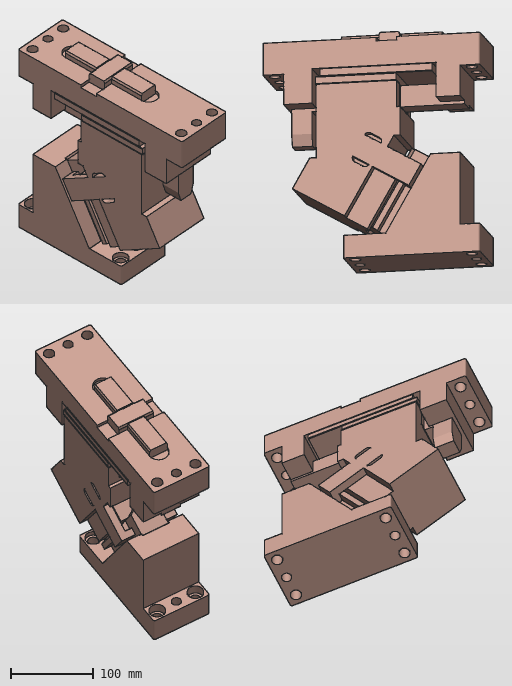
import cadquery as cq
import math


UNIT_LENGTH = 270.0
UNIT_WIDTH = 80.0
UNIT_HEIGHT = 284.0
HALF_WIDTH = UNIT_WIDTH / 2
CORNER_RADIUS = 2.5

HOLE_INSET = 12.5
HOLE_SPREAD = 27.5
SCREW_DIAMETER = 13.5
DOWEL_DIAMETER = 12.2
COUNTERBORE_DIAMETER = 20.2
COUNTERBORE_FLOOR = 22.0

BASE_LENGTH = 170.0
LEFT_FLANGE_TOP = 35.0
RIGHT_FLANGE_TOP = 28.5
SHOULDER_X = 24.5
TOWER_TOP = 125.0

SLOPE_ANGLE = 60.0
SLOPE_TOP_X = 61.3
RAIL_START = 1.7
RAIL_END = 112.0
RAIL_NOTCH_DEPTH = 2.5
RAIL_HEIGHT = 34.6
CREST_HALF = 6.2
NECK_HALF = 19.0
NECK_TOP = 26.5
WING_HALF = 29.0
WING_BOTTOM = 14.5
WING_TOP = 21.5
WING_START = 28.5

SLIDER_LEFT = 103.5
SLIDER_RIGHT = 203.5
SLIDER_TOP = 219.2
STEP_X = 99.0
STEP_TOP = 186.0
STEP_BOTTOM = 150.5
SLIDER_BACK = 52.3
SLIDER_FRONT = 131.5
SLIDER_START = 16.5
SLIDER_END = 116.2
SLIDER_LEDGE = 127.5
RECESS_TOP = 56.5

KEEPER_THICKNESS = 10.0
KEEPER_END = 46.5
KEEPER_BOTTOM = 4.3
LIP_TOP = 13.5
LIP_HALF = 20.5
POCKET_START = 11.5
POCKET_END = 51.7
POCKET_BOTTOM = 61.5
POCKET_TOP = 85.0
POCKET_RADIUS = 5.5

PLATE_CHAMFER = 0.9
SLIDER_PLATE_LEFT = 104.5
SLIDER_PLATE_RIGHT = 204.8
PLATE_JOINT = 229.0
HOLDER_PLATE_LEFT = 59.5
HOLDER_PLATE_RIGHT = 199.0

HOLDER_TOP = 274.0
HOLDER_FLANGE_BOTTOM = 234.0
LEG_BOTTOM = 196.0
LEFT_LEG_END = 54.2
RIGHT_LEG_START = 209.0
RIGHT_LEG_END = 244.2
CEILING = 239.0

BAR_HALF = 13.5
BAR_TOP = 218.7
BAR_BOTTOM = 192.0
SLOT_HALF = 23.9
SLOT_FLOOR = 191.5
SLOT_END_INSET = 1.0
HOOK_LEFT = 214.7
HOOK_RIGHT = 240.0
HOOK_BOTTOM = 149.7
HOOK_TAPER_TOP = 164.0
HOOK_TIP_HALF = 9.0

KEY_WIDTH = 25.5
KEY_SEAT_DEPTH = 4.3
KEY_CHAMFER_RUN = 1.5
KEY_CHAMFER_DROP = 3.0
LONG_KEY_LEFT = 52.8
LONG_KEY_RIGHT = 178.4
CROSS_KEY_LEFT = 103.5
CROSS_KEY_LENGTH = 50.0

SLOPE_SIN = math.sin(math.radians(SLOPE_ANGLE))
SLOPE_COS = math.cos(math.radians(SLOPE_ANGLE))
DOWNHILL = cq.Vector(SLOPE_COS, 0, -SLOPE_SIN)
SLOPE_ORIGIN = cq.Vector(SLOPE_TOP_X, 0, TOWER_TOP)
SLOPE_PLANE = cq.Plane(SLOPE_ORIGIN, xDir=DOWNHILL, normal=(0, -1, 0))


def slope_point(along, height):
    """X and Z of a point given along the slope and square to it."""
    point = SLOPE_PLANE.toWorldCoords((along, height))
    return point.x, point.z


def box(x0, x1, y0, y1, z0, z1):
    return cq.Workplane("XY").box(x1 - x0, y1 - y0, z1 - z0, centered=False).translate((x0, y0, z0))


def full_width_prism(outline):
    """XZ outline extruded over the full width of the unit."""
    return cq.Workplane("XZ").polyline(outline).close().extrude(HALF_WIDTH, both=True)


def slope_block(along0, along1, y0, y1, height0, height1):
    """Box aligned with the slope."""
    block = cq.Workplane(SLOPE_PLANE).workplane(offset=-y1)
    center = ((along0 + along1) / 2, (height0 + height1) / 2)
    return block.center(*center).rect(along1 - along0, height1 - height0).extrude(y1 - y0)


def rail_prism(half_outline, start, end):
    """Symmetric (Y, height) outline swept along the slope."""
    mirrored = [(-y, height) for y, height in reversed(half_outline)]
    section = cq.Plane(SLOPE_ORIGIN + DOWNHILL * start, xDir=(0, 1, 0), normal=DOWNHILL)
    return cq.Workplane(section).polyline(half_outline + mirrored).close().extrude(end - start)


def drill(body, x, y, diameter, z0, z1):
    return body.cut(cq.Workplane("XY", origin=(x, y, z0)).circle(diameter / 2).extrude(z1 - z0))


def fastening_holes(body, length, z0, z1):
    """Two screw holes and a dowel hole near each end."""
    for x in (HOLE_INSET, length - HOLE_INSET):
        body = drill(body, x, 0, DOWEL_DIAMETER, z0, z1)
        for y in (-HOLE_SPREAD, HOLE_SPREAD):
            body = drill(body, x, y, SCREW_DIAMETER, z0, z1)
    return body


def round_end_corners(body, length):
    """Rounds the four outermost vertical edges."""

    def around(x):
        low = (x - CORNER_RADIUS, -UNIT_WIDTH, 0)
        high = (x + CORNER_RADIUS, UNIT_WIDTH, UNIT_HEIGHT)
        return cq.selectors.BoxSelector(low, high)

    return body.edges("|Z").edges(around(0) + around(length)).fillet(CORNER_RADIUS)


def wear_plate(left, right, bottom, top):
    """Plate with chamfered edges along X."""
    plate = box(left, right, -HALF_WIDTH, HALF_WIDTH, bottom, top)
    return plate.edges("|X").chamfer(PLATE_CHAMFER)


def make_base():
    foot_x, foot_z = slope_point(RAIL_END, 0)
    rise = (RIGHT_FLANGE_TOP - foot_z) / SLOPE_COS
    outline = [
        (0, 0),
        (BASE_LENGTH, 0),
        (BASE_LENGTH, RIGHT_FLANGE_TOP),
        slope_point(RAIL_END, rise),
        (foot_x, foot_z),
        (SLOPE_TOP_X, TOWER_TOP),
        (SHOULDER_X, TOWER_TOP),
        (SHOULDER_X, LEFT_FLANGE_TOP),
        (0, LEFT_FLANGE_TOP),
    ]
    base = round_end_corners(full_width_prism(outline), BASE_LENGTH)

    notch = slope_block(-SLOPE_TOP_X, RAIL_START, -NECK_HALF, NECK_HALF, -RAIL_NOTCH_DEPTH, NECK_TOP)
    base = base.cut(notch)
    neck = [(NECK_HALF, -RAIL_NOTCH_DEPTH), (NECK_HALF, NECK_TOP), (CREST_HALF, RAIL_HEIGHT)]
    wings = [(WING_HALF, WING_BOTTOM), (WING_HALF, WING_TOP), (NECK_HALF, NECK_TOP)]
    base = base.union(rail_prism(neck, RAIL_START, RAIL_END))
    base = base.union(rail_prism(wings, WING_START, RAIL_END))

    base = fastening_holes(base, BASE_LENGTH, 0, LEFT_FLANGE_TOP)
    for x in (HOLE_INSET, BASE_LENGTH - HOLE_INSET):
        for y in (-HOLE_SPREAD, HOLE_SPREAD):
            base = drill(base, x, y, COUNTERBORE_DIAMETER, COUNTERBORE_FLOOR, LEFT_FLANGE_TOP)
    return base


def add_keeper(slider, side):
    """Keeper arm with its lip on one side, and the rounded pocket it is set into."""
    inner = HALF_WIDTH - KEEPER_THICKNESS

    def block(along0, along1, y0, y1, height0, height1):
        low, high = sorted((side * y0, side * y1))
        return slope_block(along0, along1, low, high, height0, height1)

    pocket = block(POCKET_START, POCKET_END, inner, HALF_WIDTH, POCKET_BOTTOM, POCKET_TOP)
    slider = slider.cut(pocket.edges("|Y").fillet(POCKET_RADIUS))
    arm = block(SLIDER_START, KEEPER_END, inner, HALF_WIDTH, KEEPER_BOTTOM, POCKET_TOP)
    lip = block(SLIDER_START, KEEPER_END, LIP_HALF, HALF_WIDTH, KEEPER_BOTTOM, LIP_TOP)
    return slider.union(arm).union(lip)


def make_slider():
    step_along = (TOWER_TOP + SLIDER_BACK * SLOPE_COS - STEP_BOTTOM) / SLOPE_SIN
    ledge_along = (TOWER_TOP + SLIDER_FRONT * SLOPE_COS - SLIDER_LEDGE) / SLOPE_SIN
    outline = [
        (SLIDER_LEFT, SLIDER_TOP),
        (SLIDER_LEFT, STEP_TOP),
        (STEP_X, STEP_TOP),
        (STEP_X, STEP_BOTTOM),
        slope_point(step_along, SLIDER_BACK),
        slope_point(SLIDER_START, SLIDER_BACK),
        slope_point(SLIDER_START, NECK_TOP),
        slope_point(SLIDER_END, NECK_TOP),
        slope_point(SLIDER_END, SLIDER_FRONT),
        slope_point(ledge_along, SLIDER_FRONT),
        (SLIDER_RIGHT, SLIDER_LEDGE),
        (SLIDER_RIGHT, SLIDER_TOP),
    ]
    slider = full_width_prism(outline)

    crest = [(NECK_HALF, NECK_TOP), (CREST_HALF, RAIL_HEIGHT)]
    slider = slider.cut(rail_prism(crest, SLIDER_START, SLIDER_END))
    slot = box(SLIDER_LEFT, SLIDER_RIGHT, -SLOT_HALF, SLOT_HALF, SLOT_FLOOR, SLIDER_TOP)
    slider = slider.cut(slot)
    for side in (-1, 1):
        low, high = sorted((side * WING_HALF, side * HALF_WIDTH))
        slider = slider.cut(slope_block(SLIDER_START, SLIDER_END, low, high, NECK_TOP, RECESS_TOP))
        slider = add_keeper(slider, side)
    return slider.union(wear_plate(SLIDER_PLATE_LEFT, SLIDER_PLATE_RIGHT, SLIDER_TOP, PLATE_JOINT))


def add_keys(holder):
    """Groove and rounded slot in the top face, with the crossed keys seated in them."""
    seat = HOLDER_TOP - KEY_SEAT_DEPTH
    cross_right = CROSS_KEY_LEFT + KEY_WIDTH
    half_key = KEY_WIDTH / 2
    groove = box(CROSS_KEY_LEFT, cross_right, -HALF_WIDTH, HALF_WIDTH, seat, HOLDER_TOP)
    long_slot = (
        cq.Workplane("XY", origin=((LONG_KEY_LEFT + LONG_KEY_RIGHT) / 2, 0, seat))
        .slot2D(LONG_KEY_RIGHT - LONG_KEY_LEFT + KEY_WIDTH, KEY_WIDTH)
        .extrude(KEY_SEAT_DEPTH)
    )
    long_key = box(LONG_KEY_LEFT, LONG_KEY_RIGHT, -half_key, half_key, seat, UNIT_HEIGHT)
    long_key = long_key.faces(">Z").edges("|X").chamfer(KEY_CHAMFER_DROP, KEY_CHAMFER_RUN)
    cross_half = CROSS_KEY_LENGTH / 2
    cross_key_blank = box(CROSS_KEY_LEFT, cross_right, -cross_half, cross_half, seat, UNIT_HEIGHT)
    cross_key = cross_key_blank.faces(">Z").edges("|Y").chamfer(KEY_CHAMFER_DROP, KEY_CHAMFER_RUN)
    long_key = long_key.cut(cross_key_blank)
    return holder.cut(groove).cut(long_slot).union(long_key).union(cross_key)


def add_guide_bar(holder):
    """Bar between and below the legs, its wide part in the slider slot, and the tapered hook."""
    bar = box(SHOULDER_X, HOOK_RIGHT, -BAR_HALF, BAR_HALF, BAR_BOTTOM, BAR_TOP)
    wide_left = SLIDER_LEFT + SLOT_END_INSET
    wide_right = SLIDER_RIGHT - SLOT_END_INSET
    wide_bar = box(wide_left, wide_right, -SLOT_HALF, SLOT_HALF, SLOT_FLOOR, BAR_TOP)
    hook_outline = [
        (-BAR_HALF, BAR_BOTTOM),
        (-BAR_HALF, HOOK_TAPER_TOP),
        (-HOOK_TIP_HALF, HOOK_BOTTOM),
        (HOOK_TIP_HALF, HOOK_BOTTOM),
        (BAR_HALF, HOOK_TAPER_TOP),
        (BAR_HALF, BAR_BOTTOM),
    ]
    hook = cq.Workplane("YZ", origin=(HOOK_LEFT, 0, 0)).polyline(hook_outline).close()
    return holder.union(bar).union(wide_bar).union(hook.extrude(HOOK_RIGHT - HOOK_LEFT))


def make_holder():
    outline = [
        (0, HOLDER_TOP),
        (0, HOLDER_FLANGE_BOTTOM),
        (SHOULDER_X, HOLDER_FLANGE_BOTTOM),
        (SHOULDER_X, LEG_BOTTOM),
        (LEFT_LEG_END, LEG_BOTTOM),
        (LEFT_LEG_END, CEILING),
        (RIGHT_LEG_START, CEILING),
        (RIGHT_LEG_START, LEG_BOTTOM),
        (RIGHT_LEG_END, LEG_BOTTOM),
        (RIGHT_LEG_END, HOLDER_FLANGE_BOTTOM),
        (UNIT_LENGTH, HOLDER_FLANGE_BOTTOM),
        (UNIT_LENGTH, HOLDER_TOP),
    ]
    holder = round_end_corners(full_width_prism(outline), UNIT_LENGTH)
    holder = fastening_holes(holder, UNIT_LENGTH, HOLDER_FLANGE_BOTTOM, HOLDER_TOP)
    holder = holder.union(wear_plate(HOLDER_PLATE_LEFT, HOLDER_PLATE_RIGHT, PLATE_JOINT, CEILING))
    return add_keys(add_guide_bar(holder))


base = make_base()
slider = make_slider()
holder = make_holder()

result = cq.Compound.makeCompound([body.solids().val() for body in (base, slider, holder)])